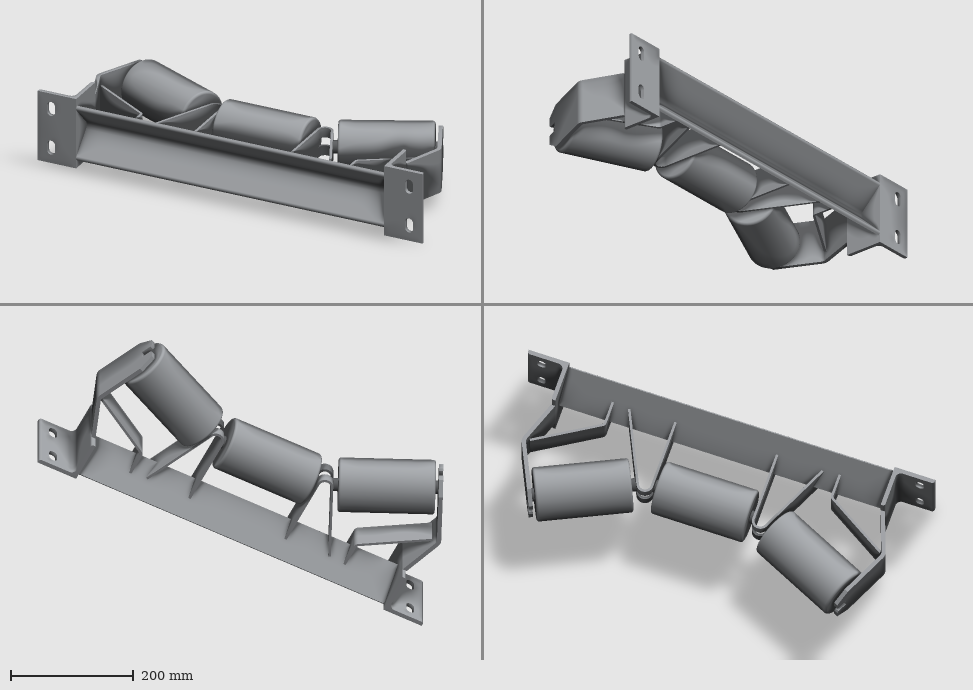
import math

import cadquery as cq


LEG = 70.0
LEG_THICKNESS = 7.0
ROOT_RADIUS = 9.0
TOE_RADIUS = 4.0

TOTAL_LENGTH = 700.0
FOOT_HEIGHT = 125.0
BEAM_HALF_LENGTH = TOTAL_LENGTH / 2 - LEG
RIDGE_Y = (LEG + LEG_THICKNESS - 2 * TOE_RADIUS) / math.sqrt(2) + TOE_RADIUS

SLOT_LENGTH = 25.0
SLOT_WIDTH = 14.0
SLOT_X = 325.5
SLOT_SPACING = 70.0

ROLLER_DIAMETER = 89.0
ROLLER_LENGTH = 158.0
ROLLER_FILLET = 4.0
SHAFT_DIAMETER = 22.0
SHAFT_FLATS = 15.0
MOUTH_DEPTH = 42.0
MIDDLE_SHAFT_LENGTH = 179.0
SIDE_SHAFT_LENGTH = 183.0
MIDDLE_ROLLER_Y = 135.0
SIDE_ROLLER_X = 195.0
SIDE_ROLLER_Y = 180.0
TROUGH_ANGLE = 25.0

THIN_PLATE = 4.0
THIN_PLATE_WIDTH = 50.0

ARM_WIDTH = 78.0
ARM_THICKNESS = 7.0
ARM_LEAN = 20.0
ARM_BEND_RADIUS = 12.0
ARM_TIP_FROM_SHAFT = 29.5
ARM_CHAMFER_LENGTH = 24.5
ARM_CHAMFER_WIDTH = 15.0
MOUTH_CHAMFER = 3.0
ARM_REACH = 280.0

HANGER_BEND_RADIUS = 12.0
HANGER_UPRIGHT_LEG = 119.0
HANGER_SLOPING_LEG = 133.0

BRACE_X = 195.0
BRACE_LOW_END_Y = 27.0
BRACE_BEND_Y = 66.0
BRACE_BEND_RADIUS = 6.0
BRACE_SLOPE = 31.5
BRACE_SLOPING_LEG = 121.0


def sine(angle):
    return math.sin(math.radians(angle))


def cosine(angle):
    return math.cos(math.radians(angle))


def angle_section():
    """L section with its outer corner at the origin and its legs along the plane's two axes."""
    toe_flat = LEG_THICKNESS - TOE_RADIUS
    root = LEG_THICKNESS + ROOT_RADIUS
    return (
        cq.Sketch()
        .segment((0, 0), (LEG, 0))
        .segment((LEG, toe_flat))
        .arc((LEG - TOE_RADIUS, toe_flat), TOE_RADIUS, 0, 90)
        .segment((LEG - TOE_RADIUS, LEG_THICKNESS), (root, LEG_THICKNESS))
        .arc((root, root), ROOT_RADIUS, 270, -90)
        .segment((LEG_THICKNESS, root), (LEG_THICKNESS, LEG - TOE_RADIUS))
        .arc((toe_flat, LEG - TOE_RADIUS), TOE_RADIUS, 0, 90)
        .segment((toe_flat, LEG), (0, LEG))
        .close()
        .assemble()
    )


def bent_plate(width, thickness, bend_centre, radius, angles, legs):
    """Plate with one bend, turning anticlockwise about bend_centre between the two angles.

    The two straight legs run on tangentially from the start and the end of the bend.
    """
    start, end = angles
    first_leg, last_leg = legs
    inner = radius - thickness / 2
    outer = radius + thickness / 2

    def point(angle, distance, along=0.0):
        x = bend_centre[0] + distance * cosine(angle) - along * sine(angle)
        y = bend_centre[1] + distance * sine(angle) + along * cosine(angle)
        return x, y

    middle = (start + end) / 2
    return (
        cq.Workplane("XY", origin=(0, 0, -width / 2))
        .moveTo(*point(start, outer, -first_leg))
        .lineTo(*point(start, outer))
        .threePointArc(point(middle, outer), point(end, outer))
        .lineTo(*point(end, outer, last_leg))
        .lineTo(*point(end, inner, last_leg))
        .lineTo(*point(end, inner))
        .threePointArc(point(middle, inner), point(start, inner))
        .lineTo(*point(start, inner, -first_leg))
        .close()
        .extrude(width)
    )


def mirrored(body):
    return body.mirror("YZ")



def middle_roller_plane():
    """Plane across the middle roller: normal along its shaft, X direction square to the shaft."""
    return cq.Plane((0, MIDDLE_ROLLER_Y, 0), xDir=(0, 1, 0), normal=(-1, 0, 0))


def side_roller_plane():
    """Plane across the left roller: normal along its shaft, X direction square to the shaft."""
    origin = (-SIDE_ROLLER_X, SIDE_ROLLER_Y, 0)
    x_direction = (sine(TROUGH_ANGLE), cosine(TROUGH_ANGLE), 0)
    normal = (-cosine(TROUGH_ANGLE), sine(TROUGH_ANGLE), 0)
    return cq.Plane(origin, xDir=x_direction, normal=normal)


def centred_extrude(sketched, length):
    """Extrude a workplane's outline to equal distances on both sides of the workplane."""
    return sketched.extrude(length).translate(sketched.plane.zDir * (-length / 2))


def flatted_shaft(plane, length):
    """Shaft with two flats, centred on the plane."""
    bar = centred_extrude(cq.Workplane(plane).circle(SHAFT_DIAMETER / 2), length)
    flats = centred_extrude(cq.Workplane(plane).rect(SHAFT_DIAMETER, SHAFT_FLATS), length)
    return bar.intersect(flats)


def shaft_slot(plane, shaft_length):
    """Cutter for the slots at both shaft ends: a seat with an open mouth along the plane's X direction."""
    seat = flatted_shaft(plane, shaft_length)
    mouth_length = shaft_length + 2 * HANGER_BEND_RADIUS
    mouth = cq.Workplane(plane).center(MOUTH_DEPTH / 2, 0).rect(MOUTH_DEPTH, SHAFT_FLATS)
    return seat.union(centred_extrude(mouth, mouth_length))



def beam():
    length = 2 * BEAM_HALF_LENGTH
    plane = cq.Plane((-BEAM_HALF_LENGTH, RIDGE_Y, 0), xDir=(0, -1, 1), normal=(1, 0, 0))
    return cq.Workplane(plane).placeSketch(angle_section()).extrude(length)


def left_foot():
    plane = cq.Plane((-BEAM_HALF_LENGTH, 0, -FOOT_HEIGHT / 2), xDir=(0, 1, 0), normal=(0, 0, 1))
    foot = cq.Workplane(plane).placeSketch(angle_section()).extrude(FOOT_HEIGHT)
    slots = (
        cq.Workplane("XZ", origin=(-SLOT_X, 0, 0))
        .rarray(7, SLOT_SPACING, 1, 2)
        .slot2D(SLOT_LENGTH, SLOT_WIDTH, 90)
        .extrude(-LEG_THICKNESS)
    )
    return foot.cut(slots)


def left_arm():
    """Arm that leans outward from the top of the left foot and then bends in, square to the side shaft."""
    low_x = -BEAM_HALF_LENGTH - ARM_THICKNESS / 2 / cosine(ARM_LEAN)
    from_roller = SIDE_SHAFT_LENGTH / 2 - ARM_THICKNESS / 2
    high_x = -SIDE_ROLLER_X - from_roller * cosine(TROUGH_ANGLE)
    high_y = SIDE_ROLLER_Y + from_roller * sine(TROUGH_ANGLE)
    low_slope = math.tan(math.radians(ARM_LEAN))
    high_slope = math.tan(math.radians(TROUGH_ANGLE))
    corner_y = (low_x - high_x + low_slope * LEG + high_slope * high_y) / (low_slope + high_slope)
    corner_x = low_x - low_slope * (corner_y - LEG)

    start = 180 - TROUGH_ANGLE
    end = 180 + ARM_LEAN
    half_turn = (end - start) / 2
    bisector = (start + end) / 2
    to_centre = ARM_BEND_RADIUS / cosine(half_turn)
    bend_centre = (corner_x - to_centre * cosine(bisector), corner_y - to_centre * sine(bisector))

    setback = ARM_BEND_RADIUS * math.tan(math.radians(half_turn))
    high_leg = (high_y - corner_y) / cosine(TROUGH_ANGLE) + ARM_TIP_FROM_SHAFT - setback
    low_leg = corner_y / cosine(ARM_LEAN)
    arm = bent_plate(
        ARM_WIDTH,
        ARM_THICKNESS,
        bend_centre,
        ARM_BEND_RADIUS,
        (start, end),
        (high_leg, low_leg),
    )

    above_foot = cq.Workplane("XY").box(TOTAL_LENGTH, TOTAL_LENGTH, ARM_WIDTH)
    above_foot = above_foot.translate((0, LEG + TOTAL_LENGTH / 2, 0))
    slot = shaft_slot(side_roller_plane(), SIDE_SHAFT_LENGTH)
    return arm.intersect(above_foot).intersect(arm_face()).cut(slot)


def arm_face():
    """Block with the face outline of the arm: chamfered tip corners and a chamfered slot mouth."""
    half_width = ARM_WIDTH / 2
    tip = ARM_TIP_FROM_SHAFT
    half_slot = SHAFT_FLATS / 2
    return (
        cq.Workplane(side_roller_plane())
        .moveTo(-ARM_REACH, 0)
        .lineTo(-ARM_REACH, half_width)
        .lineTo(tip - ARM_CHAMFER_LENGTH, half_width)
        .lineTo(tip, half_width - ARM_CHAMFER_WIDTH)
        .lineTo(tip, half_slot + MOUTH_CHAMFER)
        .lineTo(tip - MOUTH_CHAMFER, half_slot)
        .lineTo(tip - MOUTH_CHAMFER, 0)
        .mirrorX()
        .extrude(ARM_REACH)
    )


def frame():
    left_end = left_foot().union(left_arm())
    return beam().union(left_end).union(mirrored(left_end))



def beam_envelope():
    """Wedge under the sloping outer faces of the beam."""
    return (
        cq.Workplane("YZ", origin=(-BEAM_HALF_LENGTH, 0, 0))
        .polyline([(RIDGE_Y, 0), (0, RIDGE_Y), (0, -RIDGE_Y)])
        .close()
        .extrude(2 * BEAM_HALF_LENGTH)
    )


def left_hanger():
    """Hairpin plate holding the middle shaft in its upright leg and the left shaft in its sloping leg."""
    bend_x = -MIDDLE_SHAFT_LENGTH / 2 + THIN_PLATE / 2 - HANGER_BEND_RADIUS
    from_roller = SIDE_SHAFT_LENGTH / 2 - THIN_PLATE / 2 + HANGER_BEND_RADIUS
    across = (bend_x + SIDE_ROLLER_X) * cosine(TROUGH_ANGLE)
    bend_y = SIDE_ROLLER_Y - (from_roller - across) / sine(TROUGH_ANGLE)
    hanger = bent_plate(
        THIN_PLATE_WIDTH,
        THIN_PLATE,
        (bend_x, bend_y),
        HANGER_BEND_RADIUS,
        (0, 180 - TROUGH_ANGLE),
        (HANGER_UPRIGHT_LEG, HANGER_SLOPING_LEG),
    )
    middle_slot = shaft_slot(middle_roller_plane(), MIDDLE_SHAFT_LENGTH)
    side_slot = shaft_slot(side_roller_plane(), SIDE_SHAFT_LENGTH)
    return hanger.cut(beam_envelope()).cut(middle_slot).cut(side_slot)


def left_brace():
    bend_centre = (-BRACE_X - BRACE_BEND_RADIUS, BRACE_BEND_Y)
    upright_leg = BRACE_BEND_Y - BRACE_LOW_END_Y
    brace = bent_plate(
        THIN_PLATE_WIDTH,
        THIN_PLATE,
        bend_centre,
        BRACE_BEND_RADIUS,
        (0, 90 - BRACE_SLOPE),
        (upright_leg, BRACE_SLOPING_LEG),
    )
    return brace.cut(beam_envelope())



def roller(plane, shaft_length, holder_thicknesses):
    """Roller on its shaft, which is round up to the holding plates and flatted inside them."""
    drum = centred_extrude(cq.Workplane(plane).circle(ROLLER_DIAMETER / 2), ROLLER_LENGTH)
    drum = drum.edges("%CIRCLE").fillet(ROLLER_FILLET)
    inner_holder, outer_holder = holder_thicknesses
    round_length = shaft_length - inner_holder - outer_holder
    round_shaft = (
        cq.Workplane(plane)
        .workplane(offset=inner_holder - shaft_length / 2)
        .circle(SHAFT_DIAMETER / 2)
        .extrude(round_length)
    )
    return drum.union(round_shaft).union(flatted_shaft(plane, shaft_length))


middle_roller = roller(middle_roller_plane(), MIDDLE_SHAFT_LENGTH, (THIN_PLATE, THIN_PLATE))
left_roller = roller(side_roller_plane(), SIDE_SHAFT_LENGTH, (THIN_PLATE, ARM_THICKNESS))

bodies = [*frame().solids().vals(), *middle_roller.solids().vals()]
for left_body in (left_roller, left_hanger(), left_brace()):
    for body in (left_body, mirrored(left_body)):
        bodies.extend(body.solids().vals())

result = cq.Compound.makeCompound(bodies)